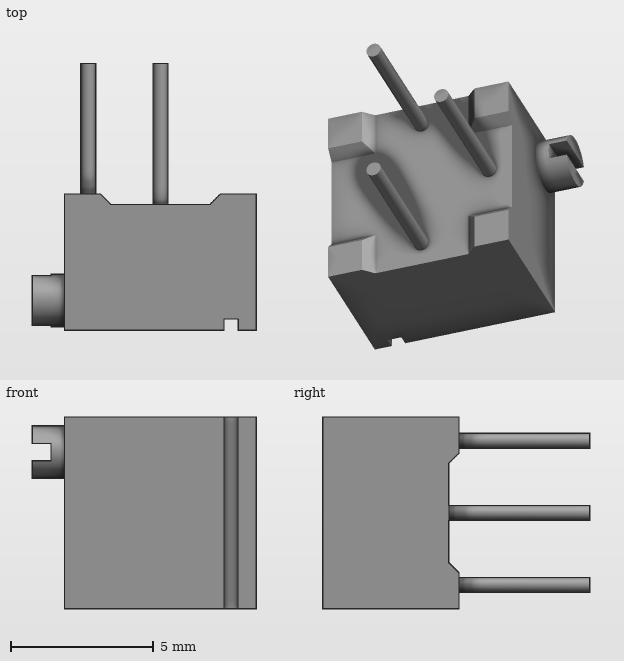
import cadquery as cq

body_side = 6.76
body_depth = 4.8
total_depth = 9.4

foot_width = 1.27
relief_depth = 0.37
relief_slope = relief_depth

groove_width = 0.5
groove_depth = 0.395
groove_edge_gap = 0.64

screw_diameter = 1.86
screw_length = 1.14
screw_front_gap = 1.05
screw_top_gap = 1.24
slot_width = 0.6
slot_depth = 0.66

pin_diameter = 0.54
pin_pitch = 2.54

middle = body_side / 2
relief_floor = body_depth - relief_depth


def relief_profile(plane):
    """Trapezoid across the back face, open towards +Y."""
    return (
        cq.Workplane(plane)
        .moveTo(foot_width, body_depth)
        .lineTo(foot_width + relief_slope, relief_floor)
        .lineTo(body_side - foot_width - relief_slope, relief_floor)
        .lineTo(body_side - foot_width, body_depth)
        .close()
    )


def make_body():
    block = cq.Workplane("XY").box(body_side, body_depth, body_side, centered=False)
    relief_along_z = relief_profile("XY").extrude(body_side)
    relief_along_x = relief_profile("ZY").extrude(-body_side)
    groove = (
        cq.Workplane("XY")
        .box(groove_width, groove_depth, body_side, centered=False)
        .translate((body_side - groove_edge_gap - groove_width, 0, 0))
    )
    return block.cut(relief_along_z).cut(relief_along_x).cut(groove)


def make_screw():
    center_y = screw_front_gap
    center_z = body_side - screw_top_gap
    shank = (
        cq.Workplane("YZ")
        .center(center_y, center_z)
        .circle(screw_diameter / 2)
        .extrude(-screw_length)
    )
    slot = cq.Workplane("XY").box(slot_depth, screw_diameter, slot_width).translate(
        (slot_depth / 2 - screw_length, center_y, center_z)
    )
    return shank.cut(slot)


def make_pin(x, z):
    return (
        cq.Workplane("XZ", origin=(x, relief_floor, z))
        .circle(pin_diameter / 2)
        .extrude(relief_floor - total_depth)
    )


pin_places = [
    (middle, middle + pin_pitch),
    (middle - pin_pitch, middle),
    (middle, middle - pin_pitch),
]

result = make_body().union(make_screw())
for pin_x, pin_z in pin_places:
    result = result.union(make_pin(pin_x, pin_z))